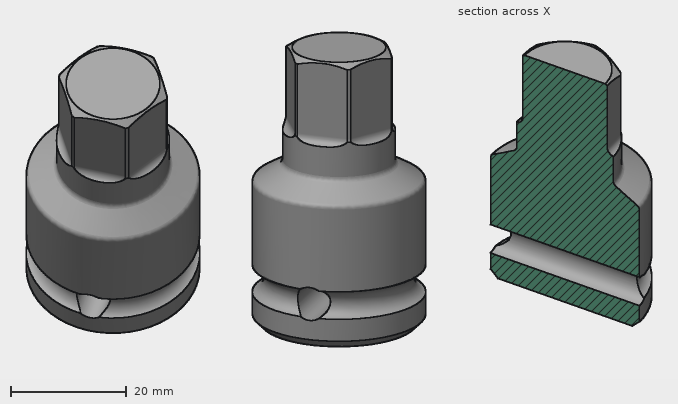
import cadquery as cq
import math

length = 50.0
body_radius = 15.0
base_chamfer = 1.5

groove_z = 8.0
groove_depth = 2.0
groove_width = 5.0
pin_hole_diameter = 6.0

slope = math.tan(math.radians(30))
shoulder_z = 26.05
shoulder_fillet = 1.0
neck_radius = 9.75

sides = 6
across_flats = 17.0
corner_radius = 9.65
tip_radius = 8.1
root_z = 36.5
root_radius = 1.5


def root_drop(offset):
    """Depth of the concave root at a given distance outside the drive surface."""
    return math.sqrt(root_radius**2 - (root_radius - offset) ** 2)


def turned_blank():
    """Solid of revolution: base, groove, shoulder, neck and the envelope of the hexagon."""
    neck_z = shoulder_z + (body_radius - neck_radius) * slope
    tip_chamfer = (corner_radius - tip_radius) * slope
    ledge = neck_radius - corner_radius
    blank = (
        cq.Workplane("XZ")
        .lineTo(body_radius - base_chamfer, 0)
        .lineTo(body_radius, base_chamfer)
        .lineTo(body_radius, groove_z - groove_width / 2)
        .threePointArc(
            (body_radius - groove_depth, groove_z),
            (body_radius, groove_z + groove_width / 2),
        )
        .lineTo(body_radius, shoulder_z)
        .lineTo(neck_radius, neck_z)
        .lineTo(neck_radius, root_z - root_drop(ledge))
        .threePointArc(
            (corner_radius + ledge / 2, root_z - root_drop(ledge / 2)),
            (corner_radius, root_z),
        )
        .lineTo(corner_radius, length - tip_chamfer)
        .lineTo(tip_radius, length)
        .lineTo(0, length)
        .close()
        .revolve(360, (0, 0), (0, 1))
    )
    for corner_z in (shoulder_z, neck_z):
        blank = blank.edges(cq.NearestToPointSelector((0, 0, corner_z))).fillet(shoulder_fillet)
    return blank


def flat_cutter():
    """Bar that mills the flat on the +X side, with a concave run-out at its lower end."""
    flat = across_flats / 2
    bend = root_radius * math.sqrt(0.5)
    return (
        cq.Workplane("XZ")
        .moveTo(flat, length)
        .lineTo(flat, root_z)
        .threePointArc(
            (flat + root_radius - bend, root_z - bend),
            (flat + root_radius, root_z - root_radius),
        )
        .lineTo(flat + root_radius, length)
        .close()
        .extrude(neck_radius, both=True)
    )


result = turned_blank()

for index in range(sides):
    result = result.cut(flat_cutter().rotate((0, 0, 0), (0, 0, 1), (index + 0.5) * 360 / sides))

pin_hole = (
    cq.Workplane("XZ")
    .center(0, groove_z)
    .circle(pin_hole_diameter / 2)
    .extrude(body_radius, both=True)
)
result = result.cut(pin_hole)